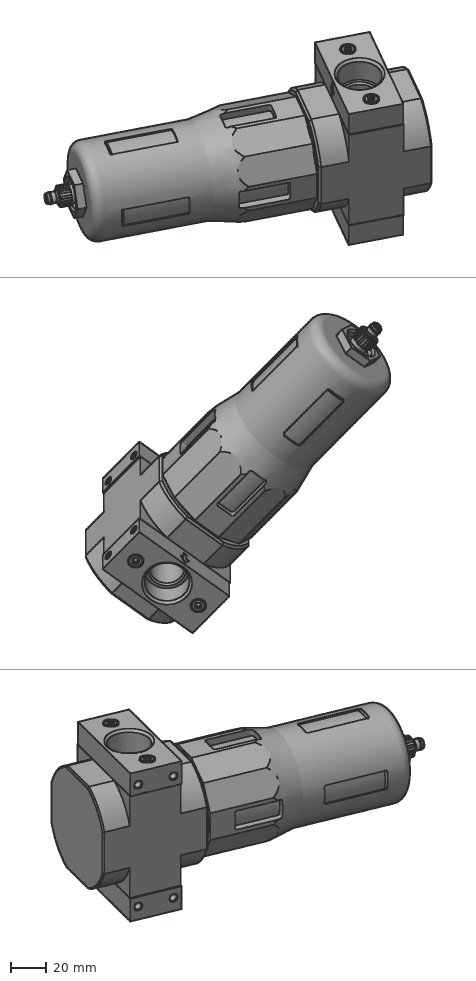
import cadquery as cq
import math


housing_half = 33.1
flat_half = 13.5
housing_back = 33.0
housing_front = -33.8
back_chamfer = 0.9
front_chamfer = 1.3
band_half = 16.1
passage_d = 19.6
passage_chamfer = 1.0

plate_left = -34.0
plate_right = 32.5
plate_top = 48.0
plate_thickness = plate_top - housing_half
port_d = 25.3
port_chamfer = 1.5
side_hole_d = 4.1
side_hole_rim_d = 5.2
side_hole_depth = 5.5
side_hole_y = 11.1
side_hole_z = 39.5
arrow_x = -0.2
arrow_base_z = 44.5
arrow_shoulder_z = 40.0
arrow_tip_z = 35.3
arrow_half = 3.0
arrow_shaft_half = 1.0
arrow_depth = 0.2

screw_x = 23.0
counterbore_d = 9.0
head_d = 8.5
head_height = 5.0
head_chamfer = 0.7
shank_d = 5.0
thread_depth = 6.5
socket_d = 3.0
socket_rim_d = 4.1
socket_depth = 1.7
drill_half_angle = 59

neck_d = 62.0
guard_back = -34.9
facet_count = 12
facet_flats = 65.2
facet_distance = facet_flats / 2
taper_start = -75.0
taper_end = -95.0
guard_front = -165.0
barrel_d = 58.6
guard_round = 6.0
window_half = 6.0
window_corner = 1.3
upper_window = (-80.7, -50.5)
upper_floor_r = 28.8
lower_window = (-148.7, -108.8)
lower_floor_r = 28.3
lower_ramp_length = 1.3
lower_ramp_rise = 0.7

nut_flats = 24.2
nut_front = -170.3
recess_d = 17.9
recess_chamfer = 1.3
recess_depth = 4.4

drain_tip = -185.0
drain_neck_d = 11.1
collar_d = 12.6
collar_back = -171.1
collar_front = -177.2
collar_cone_d = 9.8
collar_cone_front = -178.0
shoulder_d = 7.2
shoulder_front = -179.5
stem_d = 6.8
ring_back = -182.2
ring_front = -183.0
tip_d = 6.3
tip_chamfer = 0.7
tip_hole_d = 3.0
tip_hole_depth = 2.2
knurl_count = 12
slot_width = 1.7


def box(x, y, z):
    """Box spanning the given (low, high) pair along each axis."""
    size = [high - low for low, high in (x, y, z)]
    return cq.Workplane("XY").box(*size, centered=False).translate((x[0], y[0], z[0]))


def along_y(y_start):
    """Sketch plane across the bowl axis, extruding toward -Y."""
    return cq.Workplane("XZ", origin=(0, y_start, 0))


def revolve_about_y(points):
    """Solid of revolution about the Y axis from (radius, y) points."""
    return cq.Workplane("XY").polyline(points).close().revolve(360, (0, 0), (0, 1))


def drilled_hole(diameter, rim_d, depth):
    """Drill shape going down from the origin, with a chamfered rim and a conical point."""
    radius = diameter / 2
    rim_r = rim_d / 2
    rim_depth = rim_r - radius
    tip_depth = depth + radius / math.tan(math.radians(drill_half_angle))
    outline = [(0, 0), (rim_r, 0), (radius, -rim_depth), (radius, -depth), (0, -tip_depth)]
    return cq.Workplane("XZ").polyline(outline).close().revolve(360, (0, 0), (0, 1))


def screw_shape():
    """Socket head screw standing on the Z axis, its head flush with the plate top."""
    head = cq.Workplane("XY", origin=(0, 0, plate_top)).circle(head_d / 2).extrude(-head_height)
    head = head.faces(">Z").chamfer(head_chamfer)
    shank_length = plate_thickness - head_height + thread_depth
    shank_top = plate_top - head_height
    shank = cq.Workplane("XY", origin=(0, 0, shank_top)).circle(shank_d / 2).extrude(-shank_length)
    socket = drilled_hole(socket_d, socket_rim_d, socket_depth).translate((0, 0, plate_top))
    return head.union(shank).cut(socket)


def screw_space():
    """Counterbore and shank hole that take one screw."""
    counterbore = cq.Workplane("XY", origin=(0, 0, plate_top)).circle(counterbore_d / 2)
    counterbore = counterbore.extrude(-head_height)
    hole_end = housing_half - thread_depth
    shank_hole = cq.Workplane("XY", origin=(0, 0, hole_end)).circle(shank_d / 2)
    shank_hole = shank_hole.extrude(plate_top - hole_end)
    return counterbore.union(shank_hole)


def on_side(body, side):
    """Upper shape as it is for side 0, or mirrored to the bottom for side 1."""
    if side == 0:
        return body
    return body.mirror("XY")


def make_housing():
    length = housing_back - housing_front
    width = 2 * housing_half
    corner_r = math.hypot(housing_half, flat_half)
    rounded = along_y(housing_back).circle(corner_r).extrude(length)
    rounded = rounded.faces(">Y").chamfer(back_chamfer).faces("<Y").chamfer(front_chamfer)
    flats = along_y(housing_back).rect(width, width).extrude(length)
    flats = flats.faces(">Y").chamfer(back_chamfer).faces("<Y").chamfer(front_chamfer)
    band = along_y(band_half).rect(width, width).extrude(2 * band_half)
    housing = rounded.intersect(flats).union(band)

    passage = cq.Workplane("XY").circle(passage_d / 2).extrude(housing_half, both=True)
    housing = housing.cut(passage)
    rim_r = passage_d / 2 + passage_chamfer
    for side in (0, 1):
        rim = cq.Workplane("XY", origin=(0, 0, housing_half)).circle(rim_r)
        rim = rim.workplane(offset=-passage_chamfer).circle(passage_d / 2).loft()
        housing = housing.cut(on_side(rim, side))
        for x in (-screw_x, screw_x):
            housing = housing.cut(on_side(screw_space().translate((x, 0, 0)), side))
    return housing


def arrow_mark():
    """Shallow arrow on the front face of a plate, pointing down."""
    outline = [
        (-arrow_shaft_half, arrow_base_z),
        (arrow_shaft_half, arrow_base_z),
        (arrow_shaft_half, arrow_shoulder_z),
        (arrow_half, arrow_shoulder_z),
        (0, arrow_tip_z),
        (-arrow_half, arrow_shoulder_z),
        (-arrow_shaft_half, arrow_shoulder_z),
    ]
    mark = along_y(arrow_depth - band_half).polyline(outline).close().extrude(arrow_depth)
    return mark.translate((arrow_x, 0, 0))


def make_plate(side):
    plate = box((plate_left, plate_right), (-band_half, band_half), (housing_half, plate_top))
    plate = plate.faces(">Z").workplane(origin=(0, 0, plate_top)).hole(port_d)
    rim = cq.Workplane("XY", origin=(0, 0, plate_top)).circle(port_d / 2 + port_chamfer)
    rim = rim.workplane(offset=-port_chamfer).circle(port_d / 2).loft()
    plate = plate.cut(rim)
    for x in (-screw_x, screw_x):
        plate = plate.cut(screw_space().translate((x, 0, 0)))
    side_hole = drilled_hole(side_hole_d, side_hole_rim_d, side_hole_depth)
    side_hole = side_hole.rotate((0, 0, 0), (0, 1, 0), -90)
    for y in (-side_hole_y, side_hole_y):
        plate = plate.cut(side_hole.translate((plate_left, y, side_hole_z)))
    plate = on_side(plate, side)

    mark_shift = -(plate_top + housing_half) * side
    return plate.cut(arrow_mark().translate((0, 0, mark_shift)))


def window_cut(y_range, floor):
    """Four rounded windows around the guard, each down to the given round floor."""
    window = box((-window_half, window_half), y_range, (0, 2 * facet_distance))
    window = window.edges("|Z").fillet(window_corner).cut(floor)
    cuts = window
    for turn in (90, 180, 270):
        cuts = cuts.union(window.rotate((0, 0, 0), (0, 1, 0), turn))
    return cuts


def upper_windows():
    front, back = upper_window
    floor = along_y(back).circle(upper_floor_r).extrude(back - front)
    return window_cut(upper_window, floor)


def lower_windows():
    front, back = lower_window
    floor = revolve_about_y([
        (0, back),
        (lower_floor_r, back),
        (lower_floor_r, front + lower_ramp_length),
        (lower_floor_r + lower_ramp_rise, front),
        (0, front),
    ])
    return window_cut(lower_window, floor)


def make_guard():
    corner_r = facet_distance / math.cos(math.pi / facet_count)
    barrel_r = barrel_d / 2
    body = (
        cq.Workplane("XY")
        .moveTo(0, guard_back)
        .lineTo(corner_r, guard_back)
        .lineTo(corner_r, taper_start)
        .lineTo(barrel_r, taper_end)
        .lineTo(barrel_r, guard_front + guard_round)
        .radiusArc((barrel_r - guard_round, guard_front), guard_round)
        .lineTo(0, guard_front)
        .close()
        .revolve(360, (0, 0), (0, 1))
    )
    facets = along_y(guard_back).polygon(facet_count, 2 * corner_r).extrude(guard_back - guard_front)
    facets = facets.rotate((0, 0, 0), (0, 1, 0), 180 / facet_count)
    neck = along_y(housing_front).circle(neck_d / 2).extrude(housing_front - guard_back)
    guard = body.intersect(facets).union(neck)
    return guard.cut(upper_windows()).cut(lower_windows())


def make_nut():
    corner_d = nut_flats / math.cos(math.pi / 6)
    nut = along_y(guard_front).polygon(6, corner_d).extrude(guard_front - nut_front)
    recess_floor = nut_front + recess_depth
    recess_r = recess_d / 2
    recess = revolve_about_y([
        (0, recess_floor),
        (recess_r, recess_floor),
        (recess_r, nut_front + recess_chamfer),
        (recess_r + recess_chamfer, nut_front),
        (0, nut_front),
    ])
    return nut.cut(recess)


def make_drain():
    neck_r = drain_neck_d / 2
    collar_r = collar_d / 2
    stem_r = stem_d / 2
    tip_r = tip_d / 2
    shoulder_r = shoulder_d / 2
    drain_back = nut_front + recess_depth
    body = revolve_about_y([
        (0, drain_back),
        (neck_r, drain_back),
        (neck_r, collar_back),
        (collar_r, collar_back),
        (collar_r, collar_front),
        (collar_cone_d / 2, collar_cone_front),
        (shoulder_r, collar_cone_front),
        (shoulder_r, shoulder_front),
        (stem_r, shoulder_front),
        (stem_r, ring_back),
        (shoulder_r, ring_back),
        (shoulder_r, ring_front),
        (tip_r, ring_front),
        (tip_r, drain_tip + tip_chamfer),
        (tip_r - tip_chamfer, drain_tip),
        (0, drain_tip),
    ])
    slot = box(
        (-slot_width / 2, slot_width / 2), (collar_cone_front, collar_back), (neck_r, collar_d)
    )
    for index in range(knurl_count):
        angle = (index + 0.5) * 360 / knurl_count
        body = body.cut(slot.rotate((0, 0, 0), (0, 1, 0), angle))
    tip_hole = along_y(drain_tip + tip_hole_depth).circle(tip_hole_d / 2).extrude(tip_hole_depth)
    return body.cut(tip_hole)


housing = make_housing()
plates = [make_plate(side) for side in (0, 1)]
screws = []
for side in (0, 1):
    for x in (-screw_x, screw_x):
        screws.append(on_side(screw_shape().translate((x, 0, 0)), side))
guard = make_guard()
nut = make_nut()
drain = make_drain()

bodies = [housing, *plates, *screws, guard, nut, drain]
result = cq.Compound.makeCompound([body.solids().val() for body in bodies])